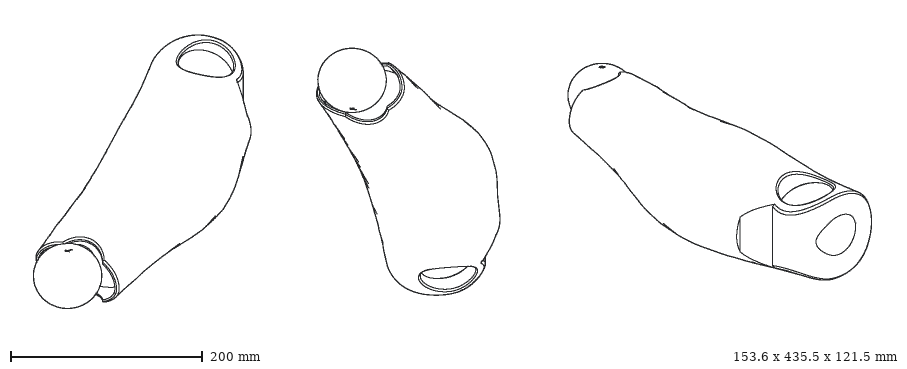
import cadquery as cq
import math

OVERALL_LENGTH = 435.54
HALF_LENGTH = OVERALL_LENGTH / 2

ARM_SECTIONS = [
    (-185.0, -66.0, 34.0, -30.5, 39.0, -6.0, -19.0, 4.0, -1.0),
    (-136.0, -62.0, 40.5, -33.0, 40.5, 6.0, -11.0, 4.0, -1.0),
    (-87.0, -59.5, 50.0, -38.0, 42.5, 16.0, -3.0, 3.0, -1.0),
    (-24.0, -57.7, 68.0, -48.0, 49.5, 31.0, 8.0, 1.0, -3.0),
    (35.0, -59.7, 77.3, -56.4, 59.8, 36.0, 13.0, -3.0, -6.0),
    (81.0, -63.0, 71.0, -58.9, 57.8, 32.0, 8.0, -9.0, -8.0),
    (136.0, -68.5, 60.0, -58.3, 45.0, 10.0, -8.0, -16.0, -8.0),
    (180.0, -74.0, 51.0, -57.0, 41.0, -13.0, -16.0, -19.0, -7.0),
    (225.0, -80.5, 40.0, -55.5, 37.0, -25.0, -22.0, -20.0, -6.0),
]
HALF_DIAGONAL = math.sqrt(0.5)
BEYOND = 120.0
SELECTION_MARGIN = 2.0

LUG_CENTER = (-4.7, 173.0)
LUG_RADIUS = 39.0
ELBOW_END_RADIUS = 160.0
ELBOW_END_ANGLE = 36.0
ELBOW_NOTCH_TOP_Y = 165.0
ELBOW_NOTCH_BOTTOM = (55.0, 138.0)
ELBOW_HOLE_RADIUS = 29.0

WRIST_LEFT = (-65.0, -165.0)
WRIST_RIGHT = (34.0, -173.0)
WRIST_NOTCH_CENTER = (-9.0, -180.0)
WRIST_NOTCH_RADIUS = 25.0
WRIST_WALL = 4.0
WRIST_FLOOR_GAP = 2.0
RIM_CHAMFER = 2.0

WRIST_BALL_RADIUS = 35.8
WRIST_BALL_HALF_HEIGHT = 33.0
WRIST_BALL_CENTER = cq.Vector(-20.5, WRIST_BALL_RADIUS - HALF_LENGTH, 6.0)
ELBOW_BALL_RADIUS = 43.0
ELBOW_BALL_CENTER = cq.Vector(-15.5, HALF_LENGTH - ELBOW_BALL_RADIUS, -6.0)
SHAFT_RADIUS = 15.0
WRIST_FLOOR_Y = WRIST_BALL_CENTER.y + WRIST_BALL_RADIUS + WRIST_FLOOR_GAP


def quadrant_middle(y, x_center, x_extreme, z_center, z_extreme):
    """Middle point of the elliptic quadrant around (x_center, z_center)."""
    x = x_center + (x_extreme - x_center) * HALF_DIAGONAL
    z = z_center + (z_extreme - z_center) * HALF_DIAGONAL
    return cq.Vector(x, y, z)


def section_wire(section, inset=0.0):
    """Closed smooth section built from four elliptic quadrants that meet at its extreme points."""
    y, left, right, bottom, top, x_bottom, x_top, z_left, z_right = section
    left += inset
    right -= inset
    bottom += inset
    top -= inset
    points = [
        cq.Vector(right, y, z_right),
        quadrant_middle(y, x_top, right, z_right, top),
        cq.Vector(x_top, y, top),
        quadrant_middle(y, x_top, left, z_left, top),
        cq.Vector(left, y, z_left),
        quadrant_middle(y, x_bottom, left, z_left, bottom),
        cq.Vector(x_bottom, y, bottom),
        quadrant_middle(y, x_bottom, right, z_right, bottom),
    ]
    edge = cq.Edge.makeSpline(points, periodic=True)
    return cq.Wire.assembleEdges([edge])


def arm_loft(inset=0.0):
    wires = [section_wire(section, inset) for section in ARM_SECTIONS]
    return cq.Workplane(cq.Solid.makeLoft(wires))


def vertical_prism(sketch):
    return sketch.extrude(BEYOND, both=True)


def wrist_end_point(x):
    """Point at x on the sloped line of the wrist end."""
    slope = (WRIST_RIGHT[1] - WRIST_LEFT[1]) / (WRIST_RIGHT[0] - WRIST_LEFT[0])
    return (x, WRIST_LEFT[1] + slope * (x - WRIST_LEFT[0]))


def elbow_end_point(angle):
    """Point on the elbow end arc, at an angle in degrees back from the lug tip."""
    turn = math.radians(angle)
    x = LUG_CENTER[0] - ELBOW_END_RADIUS * math.sin(turn)
    y = LUG_CENTER[1] + LUG_RADIUS - ELBOW_END_RADIUS * (1 - math.cos(turn))
    return (x, y)


def end_trim():
    """Plan outline of the arm: sloped wrist end, rounded elbow lug and elbow notch."""
    elbow_left = elbow_end_point(ELBOW_END_ANGLE)
    lug_diagonal = LUG_RADIUS * HALF_DIAGONAL
    lug_middle = (LUG_CENTER[0] + lug_diagonal, LUG_CENTER[1] + lug_diagonal)
    notch_drop = LUG_CENTER[1] - ELBOW_NOTCH_TOP_Y
    notch_top = (LUG_CENTER[0] + math.sqrt(LUG_RADIUS**2 - notch_drop**2), ELBOW_NOTCH_TOP_Y)
    outline = (
        cq.Workplane("XY")
        .moveTo(*wrist_end_point(-BEYOND))
        .lineTo(-BEYOND, elbow_left[1])
        .lineTo(*elbow_left)
        .threePointArc(elbow_end_point(ELBOW_END_ANGLE / 2), elbow_end_point(0))
        .threePointArc(lug_middle, notch_top)
        .lineTo(*ELBOW_NOTCH_BOTTOM)
        .lineTo(BEYOND, ELBOW_NOTCH_BOTTOM[1])
        .lineTo(*wrist_end_point(BEYOND))
        .close()
    )
    return vertical_prism(outline)


def vertical_cylinder(center, radius):
    return vertical_prism(cq.Workplane("XY").center(*center).circle(radius))


def wrist_pocket():
    """Flat-floored pocket that follows the arm surface inside the wrist."""
    limit = cq.Workplane("XY").box(4 * BEYOND, BEYOND, 4 * BEYOND)
    limit = limit.translate((0, WRIST_FLOOR_Y - BEYOND / 2, 0))
    return arm_loft(WRIST_WALL).intersect(limit)


def make_bone():
    elbow_ball = cq.Workplane("XY").sphere(ELBOW_BALL_RADIUS).translate(ELBOW_BALL_CENTER)
    wrist_ball = (
        cq.Workplane("XZ")
        .moveTo(0, -WRIST_BALL_HALF_HEIGHT)
        .ellipseArc(WRIST_BALL_RADIUS, WRIST_BALL_HALF_HEIGHT, -90, 90, startAtCurrent=True)
        .close()
        .revolve(360, (0, 0), (0, 1))
        .translate(WRIST_BALL_CENTER)
    )
    span = ELBOW_BALL_CENTER - WRIST_BALL_CENTER
    shaft = cq.Solid.makeCylinder(SHAFT_RADIUS, span.Length, WRIST_BALL_CENTER, span)
    return elbow_ball.union(cq.Workplane(shaft)).union(wrist_ball)


def chamfer_rim(body, rim_edges):
    return cq.Workplane(body.val().chamfer(RIM_CHAMFER, None, rim_edges.vals()))


def rim_between(body, y_start, y_end):
    """Non-vertical edges whose middle lies between two places along the arm."""
    region = cq.selectors.BoxSelector((-BEYOND, y_start, -BEYOND), (BEYOND, y_end, BEYOND))
    return body.edges("not |Z").edges(region)


def elbow_hole_rims(body):
    """The two edges where the elbow hole breaks through the arm surface."""
    x, y = LUG_CENTER
    reach = ELBOW_HOLE_RADIUS + SELECTION_MARGIN
    region = cq.selectors.BoxSelector(
        (x - reach, y - reach, -BEYOND), (x + reach, y + reach, BEYOND), boundingbox=True
    )
    return body.edges("not |Z").edges(region)


def make_forearm(bone):
    forearm = arm_loft().intersect(end_trim())
    forearm = forearm.cut(vertical_cylinder(WRIST_NOTCH_CENTER, WRIST_NOTCH_RADIUS))
    wrist_rim_limit = WRIST_NOTCH_CENTER[1] + WRIST_NOTCH_RADIUS
    forearm = chamfer_rim(forearm, rim_between(forearm, -HALF_LENGTH, wrist_rim_limit))
    elbow_rim_start = ELBOW_NOTCH_TOP_Y + SELECTION_MARGIN
    forearm = chamfer_rim(forearm, rim_between(forearm, elbow_rim_start, HALF_LENGTH))
    forearm = forearm.cut(vertical_cylinder(LUG_CENTER, ELBOW_HOLE_RADIUS))
    forearm = chamfer_rim(forearm, elbow_hole_rims(forearm))
    return forearm.cut(wrist_pocket()).cut(bone)


bone = make_bone()
forearm = make_forearm(bone)
result = cq.Compound.makeCompound([*forearm.vals(), bone.val()])